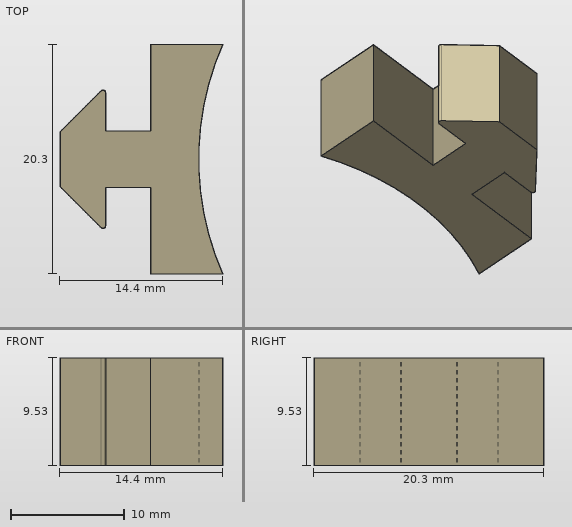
import cadquery as cq

length = 20.32
depth = 14.4
height = 9.53

head_depth = 4.05
head_flat_width = 4.84
head_tip_radius = 0.25
neck_width = 5.0

bar_front = 8.0
hollow_depth = 2.13

half_length = length / 2
half_flat = head_flat_width / 2
half_neck = neck_width / 2
half_head = half_flat + head_depth


def make_profile_body():
    """Extrude the plan outline: head, neck and hollow-backed bar."""
    return (
        cq.Workplane("XY")
        .moveTo(0, -half_flat)
        .lineTo(head_depth, -half_head)
        .lineTo(head_depth, -half_neck)
        .lineTo(bar_front, -half_neck)
        .lineTo(bar_front, -half_length)
        .lineTo(depth, -half_length)
        .threePointArc((depth - hollow_depth, 0), (depth, half_length))
        .lineTo(bar_front, half_length)
        .lineTo(bar_front, half_neck)
        .lineTo(head_depth, half_neck)
        .lineTo(head_depth, half_head)
        .lineTo(0, half_flat)
        .close()
        .extrude(height)
    )


def round_head_tips(body):
    """Round the two sharp vertical edges of the head."""
    for side in (-1, 1):
        tip = (head_depth, side * half_head, height / 2)
        body = body.edges(cq.selectors.NearestToPointSelector(tip)).fillet(head_tip_radius)
    return body


result = round_head_tips(make_profile_body())